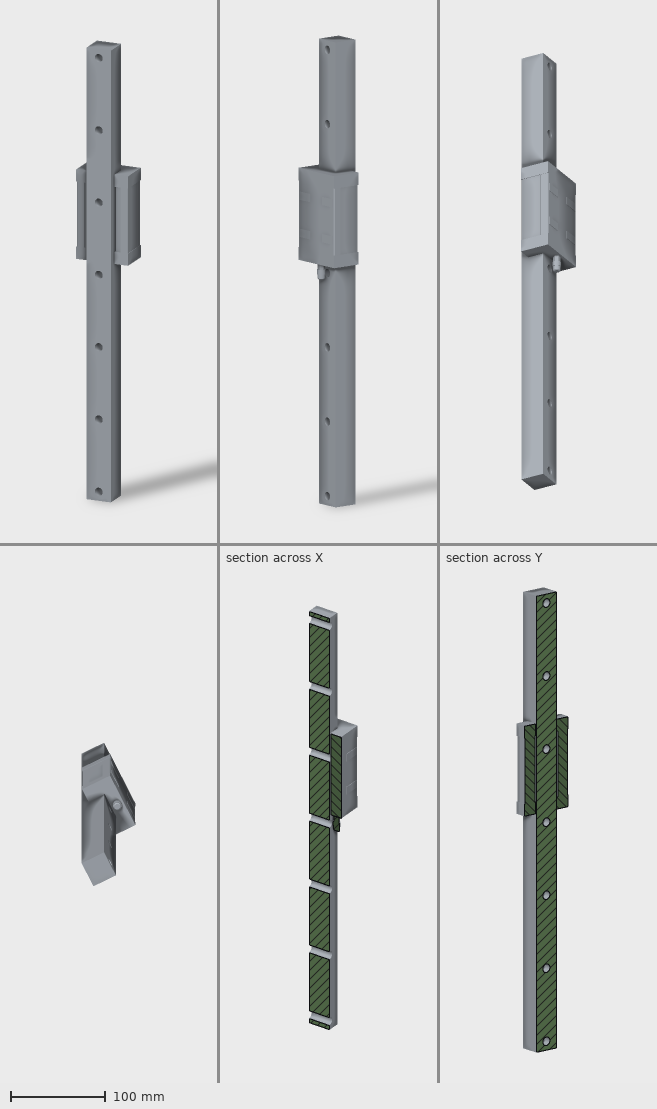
import cadquery as cq

RAIL_LENGTH = 500.0
RAIL_WIDTH = 28.0
RAIL_DEPTH = 26.5
RAIL_HOLE_DIAMETER = 9.0
RAIL_HOLE_PITCH = 80.0
RAIL_HOLE_COUNT = 7

ASSEMBLY_DEPTH = 42.0
RAIL_FRONT = -ASSEMBLY_DEPTH / 2
RAIL_BACK = RAIL_FRONT + RAIL_DEPTH
PAD_BACK = ASSEMBLY_DEPTH / 2

CAP_GAP = 0.5
BLOCK_GAP = 1.5
CHANNEL_BACK_GAP = 1.0
CHANNEL_BACK = RAIL_BACK + CHANNEL_BACK_GAP

CARRIAGE_WIDTH = 60.0
CARRIAGE_LENGTH = 99.0
CARRIAGE_BOTTOM = 11.5
CARRIAGE_CLEARANCE = 8.5
CAP_LENGTH = 13.5
PAD_HEIGHT = 0.5
CARRIAGE_FRONT = RAIL_FRONT + CARRIAGE_CLEARANCE
CARRIAGE_BACK = PAD_BACK - PAD_HEIGHT
CARRIAGE_CENTER = CARRIAGE_BOTTOM + CARRIAGE_LENGTH / 2
BLOCK_LENGTH = CARRIAGE_LENGTH - 2 * CAP_LENGTH
BLOCK_BOTTOM = CARRIAGE_BOTTOM + CAP_LENGTH

BLOCK_INSET = 0.25
BLOCK_SIDE = CARRIAGE_WIDTH / 2 - BLOCK_INSET
BLOCK_CHAMFER = 1.0
SIDE_STEP = 0.25
SIDE_STEP_FROM_BACK = 9.0
GROOVE_WIDTH = 5.5
GROOVE_DEPTH = 1.0

PAD_WIDTH = 18.0
PAD_LENGTH = 9.0
PAD_PITCH_X = 37.5
PAD_PITCH_Z = 40.0

NIPPLE_OFFSET = 8.5
NIPPLE_Y = RAIL_BACK + NIPPLE_OFFSET
HEX_ACROSS_CORNERS = 8.0
HEX_LENGTH = 6.5
COLLAR_DIAMETER = 9.0
COLLAR_LENGTH = 5.0
TIP_DIAMETER = 8.0
TIP_CHAMFER = 1.0
NIPPLE_LENGTH = 17.0


def make_rail():
    bar = cq.Workplane("XY").box(RAIL_WIDTH, RAIL_DEPTH, RAIL_LENGTH)
    bar = bar.translate((0, (RAIL_FRONT + RAIL_BACK) / 2, 0))
    holes = (
        cq.Workplane("XZ", origin=(0, RAIL_BACK, 0))
        .rarray(5, RAIL_HOLE_PITCH, 1, RAIL_HOLE_COUNT)
        .circle(RAIL_HOLE_DIAMETER / 2)
        .extrude(RAIL_DEPTH)
    )
    return bar.cut(holes)


def make_end_cap(bottom):
    half_width = CARRIAGE_WIDTH / 2
    half_channel = RAIL_WIDTH / 2 + CAP_GAP
    outline = [
        (-half_width, CARRIAGE_FRONT),
        (-half_channel, CARRIAGE_FRONT),
        (-half_channel, CHANNEL_BACK),
        (half_channel, CHANNEL_BACK),
        (half_channel, CARRIAGE_FRONT),
        (half_width, CARRIAGE_FRONT),
        (half_width, CARRIAGE_BACK),
        (-half_width, CARRIAGE_BACK),
    ]
    return cq.Workplane("XY", origin=(0, 0, bottom)).polyline(outline).close().extrude(CAP_LENGTH)


def make_block():
    inner = RAIL_WIDTH / 2 + BLOCK_GAP
    groove_side = inner + GROOVE_WIDTH
    groove_bottom = CARRIAGE_FRONT + GROOVE_DEPTH
    lower_side = BLOCK_SIDE - SIDE_STEP
    step = CARRIAGE_BACK - SIDE_STEP_FROM_BACK
    right_half = [
        (inner, CHANNEL_BACK),
        (inner, groove_bottom),
        (groove_side, groove_bottom),
        (groove_side, CARRIAGE_FRONT),
        (lower_side - BLOCK_CHAMFER, CARRIAGE_FRONT),
        (lower_side, CARRIAGE_FRONT + BLOCK_CHAMFER),
        (lower_side, step),
        (BLOCK_SIDE, step),
        (BLOCK_SIDE, CARRIAGE_BACK - BLOCK_CHAMFER),
        (BLOCK_SIDE - BLOCK_CHAMFER, CARRIAGE_BACK),
    ]
    left_half = [(-x, y) for x, y in reversed(right_half)]
    outline = right_half + left_half
    return cq.Workplane("XY", origin=(0, 0, BLOCK_BOTTOM)).polyline(outline).close().extrude(BLOCK_LENGTH)


def make_pads():
    return (
        cq.Workplane("XZ", origin=(0, PAD_BACK, CARRIAGE_CENTER))
        .rarray(PAD_PITCH_X, PAD_PITCH_Z, 2, 2)
        .rect(PAD_WIDTH, PAD_LENGTH)
        .extrude(PAD_HEIGHT)
    )


def make_carriage():
    carriage = make_block()
    for bottom in (CARRIAGE_BOTTOM, BLOCK_BOTTOM + BLOCK_LENGTH):
        carriage = carriage.union(make_end_cap(bottom))
    return carriage.union(make_pads())


def make_nipple():
    hexagon = (
        cq.Workplane("XY", origin=(0, NIPPLE_Y, CARRIAGE_BOTTOM))
        .polygon(6, HEX_ACROSS_CORNERS)
        .extrude(-HEX_LENGTH)
    )
    collar = hexagon.faces("<Z").workplane().circle(COLLAR_DIAMETER / 2).extrude(COLLAR_LENGTH)
    tip_length = NIPPLE_LENGTH - HEX_LENGTH - COLLAR_LENGTH
    nipple = collar.faces("<Z").workplane().circle(TIP_DIAMETER / 2).extrude(tip_length)
    return nipple.faces("<Z").chamfer(TIP_CHAMFER)


rail = make_rail()
carriage = make_carriage()
nipple = make_nipple()

result = cq.Compound.makeCompound([rail.val(), carriage.val(), nipple.val()])